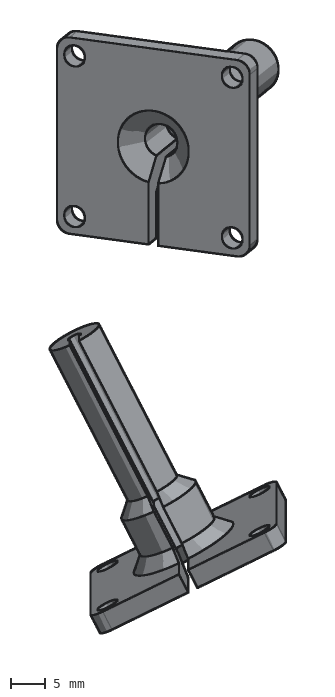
import cadquery as cq

plate_side = 30.0
plate_thickness = 3.0
corner_radius = 1.98
total_length = 38.0
stem_diameter = 7.98
collar_diameter = 12.0
collar_length = 6.0
chamfer = 2.0
hole_diameter = 3.2
hole_spacing = 24.5
funnel_diameter = 11.02
socket_diameter = 5.0
funnel_depth = (funnel_diameter - socket_diameter) / 2
bore_diameter = 2.0
slot_width = 1.5
collar_start = plate_thickness + chamfer
collar_end = collar_start + collar_length
socket_depth = collar_end


def make_plate():
    plate = cq.Workplane("XY").box(plate_side, plate_thickness, plate_side, centered=(True, False, True))
    plate = plate.edges("|Y").fillet(corner_radius)
    holes = (
        cq.Workplane("XZ")
        .rect(hole_spacing, hole_spacing, forConstruction=True)
        .vertices()
        .circle(hole_diameter / 2)
        .extrude(-plate_thickness)
    )
    return plate.cut(holes)


def make_stem():
    """Revolve the flared base, collar and stem about the Y axis."""
    collar_radius = collar_diameter / 2
    profile = [
        (0, 0),
        (collar_radius + chamfer, 0),
        (collar_radius + chamfer, plate_thickness),
        (collar_radius, collar_start),
        (collar_radius, collar_end),
        (stem_diameter / 2, collar_end + chamfer),
        (stem_diameter / 2, total_length),
        (0, total_length),
    ]
    return cq.Workplane("XY").polyline(profile).close().revolve(360, (0, 0), (0, 1))


def make_socket():
    """Conical mouth leading into a cylindrical, flat-bottomed socket."""
    profile = [
        (0, 0),
        (funnel_diameter / 2, 0),
        (socket_diameter / 2, funnel_depth),
        (socket_diameter / 2, socket_depth),
        (0, socket_depth),
    ]
    return cq.Workplane("XY").polyline(profile).close().revolve(360, (0, 0), (0, 1))


def make_bore():
    return cq.Workplane("XZ").circle(bore_diameter / 2).extrude(-total_length)


def make_slot():
    """Slot from the bore out through the lower side, along the full length."""
    slot_height = plate_side / 2
    return (
        cq.Workplane("XZ")
        .center(0, -slot_height / 2)
        .rect(slot_width, slot_height)
        .extrude(-total_length)
    )


result = make_plate().union(make_stem())
for opening in (make_socket(), make_bore(), make_slot()):
    result = result.cut(opening)